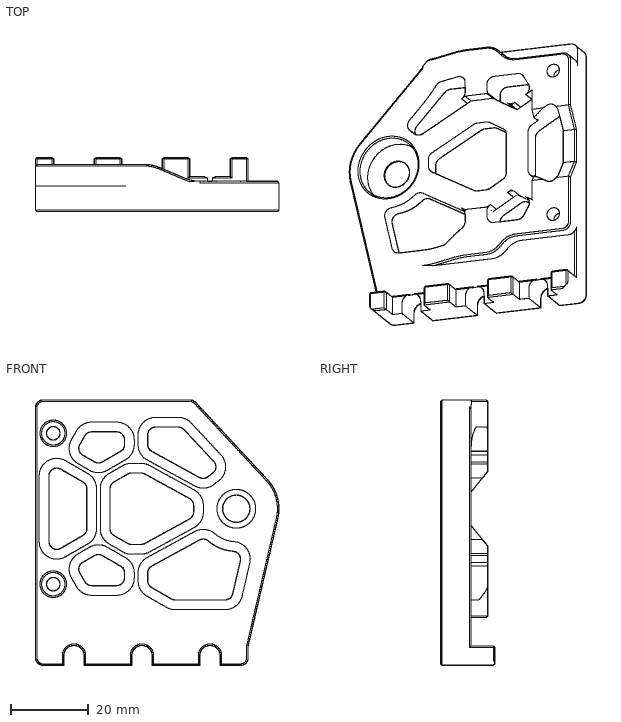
import cadquery as cq
import math

height = 68.5
base_thick = 7.9
raised_thick = 12.2
lug_thick = 14.0
corner_radius = 2.0
edge_chamfer = 0.4
mid_z = 40.4

pivot_x = 51.8
nose_radius = 11.0
pivot_dia = 7.0
pivot_flare = 1.5
bearing_dia = 16.1
bearing_floor = 2.0

roof_end_x = 40.7
foot_end_x = 54.9
foot_end_z = 5.0

flare_width = 2.55
flare_depth = flare_width
web = 0.95
rim = 7.0
pitch = 2 * flare_width + web
window_slant = math.radians(30)
left_x = web + flare_width
left_right_x = 13.2
left_top_dz = 11.9
middle_x = left_right_x + pitch
middle_roof_x = 27.75
middle_top_dz = 9.2
middle_right_x = 40.75
middle_right_dz = 2.05
small_left_x = 10.5
small_right_x = 22.95
small_top_dz = 19.8
right_x = small_right_x + pitch
upper_top_dz = 21.0
lower_left_dz = 19.7
lower_bottom_dz = 23.5

mount_x = 4.6
mount_spacing = 38.9
mount_dia = 3.4
counterbore_dia = 6.0
counterbore_depth = 6.0

pad_half_height = height - mid_z
step_drop = 4.05
step_start_x = 15.0
step_radius = 5.0
step_angle = math.radians(45)
step_y = 6.6
ramp_start_x = 28.15
ramp_radius = 10.0
ramp_angle = math.radians(23)
channel_half_floor = 4.3
channel_half_mouth = 9.65

lug_height = 5.1
slot_pitch = 17.55
slot_first_x = 9.9
slot_count = 3
slot_dia = 5.2
slot_center_z = 2.55
gap_width = 10.4
gap_floor = 9.1


def prism(points, y_start, y_end):
    """Extrude a closed X-Z polygon from y_start to y_end."""
    work = cq.Workplane("XZ", origin=(0, y_start, 0)).polyline(points).close()
    return work.extrude(y_start - y_end)


def rod(x, z, dia, y_start, y_end):
    """Cylinder along Y."""
    work = cq.Workplane("XZ", origin=(x, y_start, z)).circle(dia / 2)
    return work.extrude(y_start - y_end)


def cone(x, z, front_dia, back_dia, y_start, y_end):
    """Cone frustum along Y."""
    length = y_end - y_start
    solid = cq.Solid.makeCone(
        front_dia / 2, back_dia / 2, length, cq.Vector(x, y_start, z), cq.Vector(0, 1, 0)
    )
    return cq.Workplane(obj=solid)


def nose_tangent(x, z, side):
    """Tangent point on the nose circle of the line from (x, z); side +1 is upper, -1 lower."""
    dx = x - pivot_x
    dz = z - mid_z
    toward = math.atan2(dz, dx)
    swing = math.acos(nose_radius / math.hypot(dx, dz))
    angle = toward - side * swing
    return pivot_x + nose_radius * math.cos(angle), mid_z + nose_radius * math.sin(angle)


def inset_line(start, end, distance):
    """Point and direction of the line start-end moved left by the given distance."""
    length = math.dist(start, end)
    ux = (end[0] - start[0]) / length
    uz = (end[1] - start[1]) / length
    return (start[0] - distance * uz, start[1] + distance * ux), (ux, uz)


def meet(line_a, line_b):
    """Crossing point of two (point, direction) lines."""
    (ax, az), (aux, auz) = line_a
    (bx, bz), (bux, buz) = line_b
    along = ((bx - ax) * buz - (bz - az) * bux) / (aux * buz - auz * bux)
    return ax + along * aux, az + along * auz


def slope_line(x, z, angle):
    """Line through (x, z) at an angle from +X."""
    return (x, z), (math.cos(angle), math.sin(angle))


def z_at(dz):
    """Height at an offset from the symmetry height."""
    return mid_z + dz


def mirrored(points):
    """The points mirrored across the symmetry height."""
    return [(x, 2 * mid_z - z) for x, z in points]


roof_end = (roof_end_x, height)
foot_end = (foot_end_x, foot_end_z)
nose_top = nose_tangent(*roof_end, 1)
nose_bottom = nose_tangent(*foot_end, -1)


def outline_block(y_end):
    """The outer outline extruded from the front face to y_end."""
    work = (
        cq.Workplane("XZ")
        .lineTo(foot_end_x, 0)
        .lineTo(*foot_end)
        .lineTo(*nose_bottom)
        .threePointArc((pivot_x + nose_radius, mid_z), nose_top)
        .lineTo(*roof_end)
        .lineTo(0, height)
        .close()
        .extrude(-y_end)
    )
    for x, z in [(0, 0), (foot_end_x, 0), roof_end, (0, height)]:
        work = work.edges(cq.NearestToPointSelector((x, y_end / 2, z))).fillet(corner_radius)
    return work


def shoulder_cutter():
    """Space above the lowered top-left shoulder of the pad, an S-shaped step."""
    floor_z = height - step_drop
    bend = step_angle
    half = bend / 2
    r = step_radius
    low_x = step_start_x + r * math.sin(bend)
    low_z = floor_z + r * (1 - math.cos(bend))
    high_z = height - r * (1 - math.cos(bend))
    high_x = low_x + (high_z - low_z) / math.tan(bend)
    end_x = high_x + r * math.sin(bend)
    k = corner_radius
    return (
        cq.Workplane("XZ", origin=(0, step_y, 0))
        .moveTo(0, floor_z - k)
        .threePointArc((k - k * math.sqrt(0.5), floor_z - k + k * math.sqrt(0.5)), (k, floor_z))
        .lineTo(step_start_x, floor_z)
        .threePointArc(
            (step_start_x + r * math.sin(half), floor_z + r * (1 - math.cos(half))),
            (low_x, low_z),
        )
        .lineTo(high_x, high_z)
        .threePointArc(
            (end_x - r * math.sin(half), height - r * (1 - math.cos(half))), (end_x, height)
        )
        .lineTo(end_x, height + k)
        .lineTo(-k, height + k)
        .lineTo(-k, floor_z - k)
        .close()
        .extrude(step_y - lug_thick)
    )


def is_outer_edge(edge):
    """True for the back edges along the outer walls of the pad."""
    mid = edge.positionAt(0.5)
    on_left_wall = mid.x < edge_chamfer
    upright = edge.geomType() == "LINE" and edge.BoundingBox().xlen < edge_chamfer
    beside_channel = abs(mid.z - mid_z) <= channel_half_mouth + edge_chamfer
    return mid.y > step_y + edge_chamfer and (on_left_wall or not (upright or beside_channel))


def pad():
    """Raised pad: flat on the left, ramping down to the plate on the right."""
    rise = raised_thick - base_thick
    half = ramp_angle / 2
    r = ramp_radius
    arc_x = r * math.sin(ramp_angle)
    arc_y = r * (1 - math.cos(ramp_angle))
    slant_x = (rise - 2 * arc_y) / math.tan(ramp_angle)
    end_x = ramp_start_x + 2 * arc_x + slant_x
    block = (
        cq.Workplane("XY", origin=(0, 0, mid_z - pad_half_height))
        .moveTo(0, step_y)
        .lineTo(0, raised_thick)
        .lineTo(ramp_start_x, raised_thick)
        .threePointArc(
            (ramp_start_x + r * math.sin(half), raised_thick - r * (1 - math.cos(half))),
            (ramp_start_x + arc_x, raised_thick - arc_y),
        )
        .lineTo(ramp_start_x + arc_x + slant_x, base_thick + arc_y)
        .threePointArc(
            (end_x - r * math.sin(half), base_thick + r * (1 - math.cos(half))),
            (end_x, base_thick),
        )
        .lineTo(end_x, step_y)
        .close()
        .extrude(2 * pad_half_height)
    )
    lower_shoulder = shoulder_cutter().mirror("XY", (0, 0, mid_z))
    channel = (
        cq.Workplane("YZ")
        .polyline([
            (base_thick, mid_z - channel_half_floor),
            (raised_thick, mid_z - channel_half_mouth),
            (raised_thick, mid_z + channel_half_mouth),
            (base_thick, mid_z + channel_half_floor),
        ])
        .close()
        .extrude(end_x)
    )
    block = block.cut(shoulder_cutter()).cut(lower_shoulder).cut(channel)
    back_edges = block.faces("<X or >Z or <Z or >Y").edges("not |Y")
    return back_edges.filter(is_outer_edge).chamfer(edge_chamfer)


def lugs():
    """Foot strip on the back, split into lugs by the gaps around the slots."""
    strip = cq.Workplane("XY").box(foot_end_x, lug_thick, lug_height, centered=False)
    for i in range(slot_count):
        x = slot_first_x + i * slot_pitch
        gap = cq.Workplane("XY").box(gap_width, lug_thick, lug_height, centered=False)
        strip = strip.cut(gap.translate((x - gap_width / 2, gap_floor, 0)))
    return strip.faces(">Y or >Z").edges().chamfer(edge_chamfer)


plate = outline_block(base_thick).faces(">Y").chamfer(edge_chamfer)
blank = plate.union(pad()).union(lugs())
blank = blank.intersect(outline_block(lug_thick)).cut(shoulder_cutter())
blank = blank.faces("<Y").chamfer(edge_chamfer)



def half_outline(points):
    """Closed outline symmetric about the middle height from its upper half points."""
    return points + mirrored(points)[::-1]


def slant_rise(run):
    """Height gained along a window edge of the common slant over a horizontal run."""
    return run * math.tan(window_slant)


left_right_dz = left_top_dz - slant_rise(left_right_x - left_x)
node_x = (left_right_x + middle_x) / 2
node_dz = left_right_dz + pitch / math.cos(window_slant) - slant_rise(pitch / 2)
small_left_dz = node_dz + slant_rise(node_x - small_left_x)
small_right_dz = node_dz + slant_rise(small_right_x - node_x)
middle_eave_x = middle_x + (middle_top_dz - left_right_dz) / math.tan(window_slant)

left_window = half_outline([(left_x, z_at(left_top_dz)), (left_right_x, z_at(left_right_dz))])
middle_window = half_outline([
    (middle_x, z_at(left_right_dz)),
    (middle_eave_x, z_at(middle_top_dz)),
    (middle_roof_x, z_at(middle_top_dz)),
    (middle_right_x, z_at(middle_right_dz)),
])
upper_small = [
    (node_x, z_at(node_dz)),
    (small_right_x, z_at(small_right_dz)),
    (small_right_x, z_at(small_top_dz)),
    (small_left_x + slant_rise(small_top_dz - small_left_dz), z_at(small_top_dz)),
    (small_left_x, z_at(small_left_dz)),
]
middle_slant = inset_line(
    (middle_roof_x, z_at(middle_top_dz)), (middle_right_x, z_at(middle_right_dz)), pitch
)
roof_slant = inset_line(nose_top, roof_end, rim)
left_side = slope_line(right_x, 0, math.pi / 2)
upper_right = [
    meet(left_side, middle_slant),
    meet(roof_slant, middle_slant),
    meet(roof_slant, slope_line(0, z_at(upper_top_dz), 0)),
    (right_x, z_at(upper_top_dz)),
]
slant_start, (slant_ux, slant_uz) = middle_slant
lower_slant = (mirrored([slant_start])[0], (slant_ux, -slant_uz))
right_slant = inset_line(foot_end, nose_bottom, rim)
floor_line = slope_line(0, z_at(-lower_bottom_dz), 0)
lower_right = [
    mirrored([upper_right[0]])[0],
    (right_x, z_at(-lower_left_dz)),
    meet(slope_line(right_x, z_at(-lower_left_dz), -window_slant), floor_line),
    meet(floor_line, right_slant),
    meet(right_slant, lower_slant),
]


def window_cutter(points):
    """Through window with a wide flare at the front."""
    core = prism(points, flare_depth, lug_thick)
    core = core.cut(rod(pivot_x, mid_z, 2 * nose_radius, 0, lug_thick))
    core = core.edges("|Y").fillet(corner_radius)
    throat = core.faces("<Y").wires().val()
    mouth = throat.offset2D(flare_width)[0].translate(cq.Vector(0, -flare_depth, 0))
    flare = cq.Solid.makeLoft([mouth, throat], True)
    return core.union(cq.Workplane(obj=flare))


windows = [
    left_window, middle_window, upper_small, mirrored(upper_small), upper_right, lower_right
]
small_left, small_right = upper_small[-1], upper_small[1]
pocket = half_outline([small_left, upper_small[0], small_right, upper_right[0], upper_right[1]])
result = blank.cut(prism(pocket, base_thick, raised_thick))
for window in windows:
    result = result.cut(window_cutter(window))

result = result.cut(rod(pivot_x, mid_z, pivot_dia, 0, lug_thick))
result = result.cut(cone(pivot_x, mid_z, pivot_dia + 2 * pivot_flare, pivot_dia, 0, pivot_flare))
result = result.cut(rod(pivot_x, mid_z, bearing_dia, bearing_floor, lug_thick))
bearing_mouth = bearing_dia + 2 * edge_chamfer
result = result.cut(
    cone(pivot_x, mid_z, bearing_dia, bearing_mouth, base_thick - edge_chamfer, base_thick)
)

mouth_dia = counterbore_dia + 2 * edge_chamfer
seat_end = counterbore_depth + (counterbore_dia - mount_dia) / 2
for side in (-1, 1):
    z = mid_z + side * mount_spacing / 2
    result = result.cut(rod(mount_x, z, mount_dia, 0, lug_thick))
    result = result.cut(rod(mount_x, z, counterbore_dia, 0, counterbore_depth))
    result = result.cut(cone(mount_x, z, mouth_dia, counterbore_dia, 0, edge_chamfer))
    result = result.cut(cone(mount_x, z, counterbore_dia, mount_dia, counterbore_depth, seat_end))



def slot_cutter(x):
    """Round-topped slot open at the bottom of the foot, chamfered at the front."""
    profile = (
        cq.Workplane("XZ", origin=(x, 0, 0))
        .moveTo(-slot_dia / 2, -corner_radius)
        .lineTo(-slot_dia / 2, slot_center_z)
        .threePointArc((0, slot_center_z + slot_dia / 2), (slot_dia / 2, slot_center_z))
        .lineTo(slot_dia / 2, -corner_radius)
        .close()
    )
    slot = profile.extrude(-lug_thick)
    throat = slot.faces("<Y").wires().val()
    mouth = throat.offset2D(edge_chamfer)[0]
    flare = cq.Solid.makeLoft([mouth, throat.translate(cq.Vector(0, edge_chamfer, 0))], True)
    return slot.union(cq.Workplane(obj=flare))


for i in range(slot_count):
    x = slot_first_x + i * slot_pitch
    result = result.cut(slot_cutter(x))